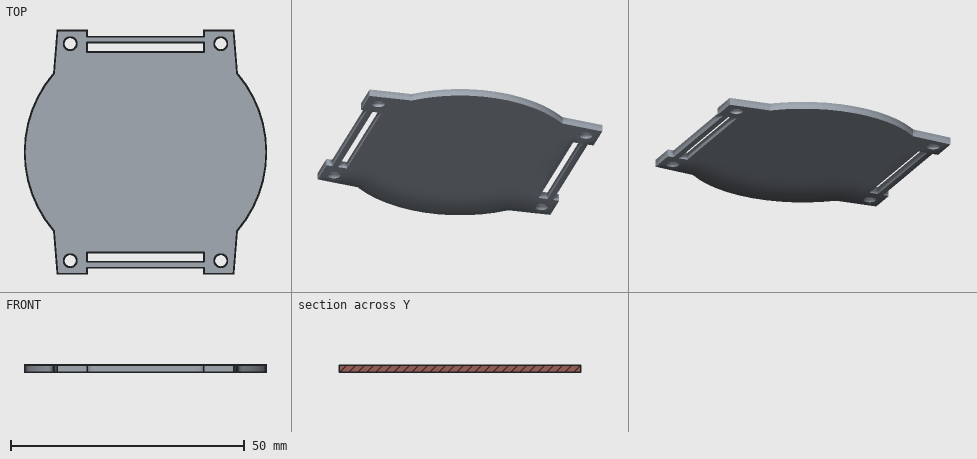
import cadquery as cq
import math

thickness = 1.6
disc_radius = 51.71 / 2

length = 52.04
end_half_width = 18.85
shoulder_half_width = 19.6
shoulder_y = math.sqrt(disc_radius**2 - shoulder_half_width**2)

hole_diameter = 2.74
hole_x = 16.1
hole_y = 23.2

slot_length = 25.0
slot_inner_y = 21.47
slot_outer_y = 23.42
bar_outer_y = 24.72


def make_plate():
    """Disc arcs on both X sides, joined to four straight-sided corner lugs."""
    end_y = length / 2
    return (
        cq.Workplane("XY")
        .moveTo(-end_half_width, end_y)
        .lineTo(end_half_width, end_y)
        .lineTo(shoulder_half_width, shoulder_y)
        .threePointArc((disc_radius, 0), (shoulder_half_width, -shoulder_y))
        .lineTo(end_half_width, -end_y)
        .lineTo(-end_half_width, -end_y)
        .lineTo(-shoulder_half_width, -shoulder_y)
        .threePointArc((-disc_radius, 0), (-shoulder_half_width, shoulder_y))
        .close()
        .extrude(thickness)
    )


def make_opening(inner_y, outer_y, side):
    """Full-depth rectangular cutter between two distances from the X axis."""
    centre_y = side * (inner_y + outer_y) / 2
    return (
        cq.Workplane("XY")
        .center(0, centre_y)
        .rect(slot_length, outer_y - inner_y)
        .extrude(thickness)
    )


def make_corner_holes():
    """Cutters for the four through holes."""
    return (
        cq.Workplane("XY")
        .rect(2 * hole_x, 2 * hole_y, forConstruction=True)
        .vertices()
        .circle(hole_diameter / 2)
        .extrude(thickness)
    )


result = make_plate().cut(make_corner_holes())
for side in (-1, 1):
    strap_slot = make_opening(slot_inner_y, slot_outer_y, side)
    end_recess = make_opening(bar_outer_y, length / 2, side)
    result = result.cut(strap_slot).cut(end_recess)